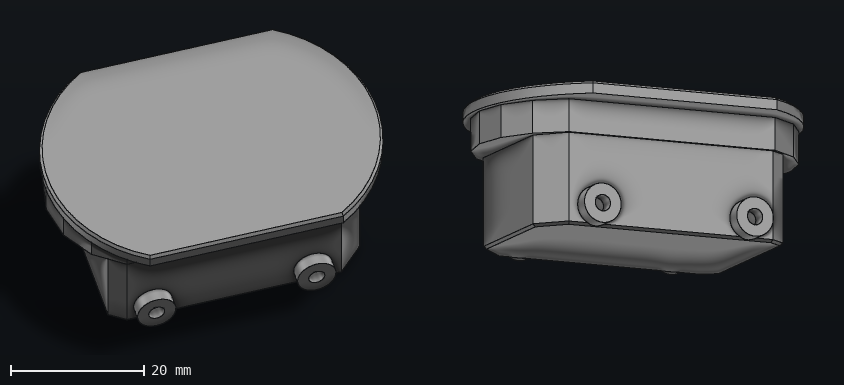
import cadquery as cq
import math

total_height = 21.0

plate_length = 51.8
plate_width = 38.0
plate_flat_length = 30.15
plate_thickness = 1.95
plate_chamfer = 0.4

collar_width = 27.35
collar_straight_length = 33.8
collar_height = 5.05
collar_center_y = -0.25
arch_rise = 8.6
arch_facets = 6

body_width = 26.45
body_back_y = 20.5
body_front_y = -19.5
back_cut = 4.05
front_cut_x = 1.75
front_cut_y = 2.5
body_chamfer = 0.4

pin_diameter = 6.0
bore_diameter = 2.5
pin_left_x = -15.75
pin_right_x = 15.3
pin_center_z = 3.1
pin_positions_y = (12.0, -12.95)

plate_bottom = total_height - plate_thickness
collar_bottom = plate_bottom - collar_height


def make_plate():
    half_width = plate_width / 2
    half_flat = plate_flat_length / 2
    half_length = plate_length / 2
    return (
        cq.Workplane("XY", origin=(0, 0, plate_bottom))
        .moveTo(half_width, -half_flat)
        .lineTo(half_width, half_flat)
        .threePointArc((0, half_length), (-half_width, half_flat))
        .lineTo(-half_width, -half_flat)
        .threePointArc((0, -half_length), (half_width, -half_flat))
        .close()
        .extrude(plate_thickness)
        .faces(">Z")
        .chamfer(plate_chamfer)
    )


def make_collar():
    half_width = collar_width / 2
    arch_radius = (half_width**2 + arch_rise**2) / (2 * arch_rise)
    half_angle = math.asin(half_width / arch_radius)
    arch_center = collar_straight_length / 2 + arch_rise - arch_radius
    back_arch = []
    for i in range(arch_facets + 1):
        angle = half_angle * (1 - 2 * i / arch_facets)
        x = arch_radius * math.sin(angle)
        y = arch_center + arch_radius * math.cos(angle)
        back_arch.append((x, y))
    front_arch = [(-x, -y) for x, y in back_arch]
    return (
        cq.Workplane("XY", origin=(0, collar_center_y, collar_bottom))
        .polyline(back_arch + front_arch)
        .close()
        .extrude(collar_height)
    )


def make_body():
    half_width = body_width / 2
    right_side = [
        (half_width - front_cut_x, body_front_y),
        (half_width, body_front_y + front_cut_y),
        (half_width, body_back_y - back_cut),
        (half_width - back_cut, body_back_y),
    ]
    left_side = [(-x, y) for x, y in reversed(right_side)]
    return (
        cq.Workplane("XY")
        .polyline(right_side + left_side)
        .close()
        .extrude(collar_bottom)
        .faces("<Z")
        .chamfer(body_chamfer)
    )


def cross_cylinders(diameter, start_x, end_x):
    """Cylinders along X at both pin positions."""
    centers = [(y, pin_center_z) for y in pin_positions_y]
    return (
        cq.Workplane("YZ", origin=(start_x, 0, 0))
        .pushPoints(centers)
        .circle(diameter / 2)
        .extrude(end_x - start_x)
    )


pins = cross_cylinders(pin_diameter, pin_left_x, pin_right_x)
left_bores = cross_cylinders(bore_diameter, pin_left_x, -body_width / 2)
right_bores = cross_cylinders(bore_diameter, body_width / 2, pin_right_x)

result = (
    make_body()
    .union(make_collar())
    .union(make_plate())
    .union(pins)
    .cut(left_bores)
    .cut(right_bores)
)